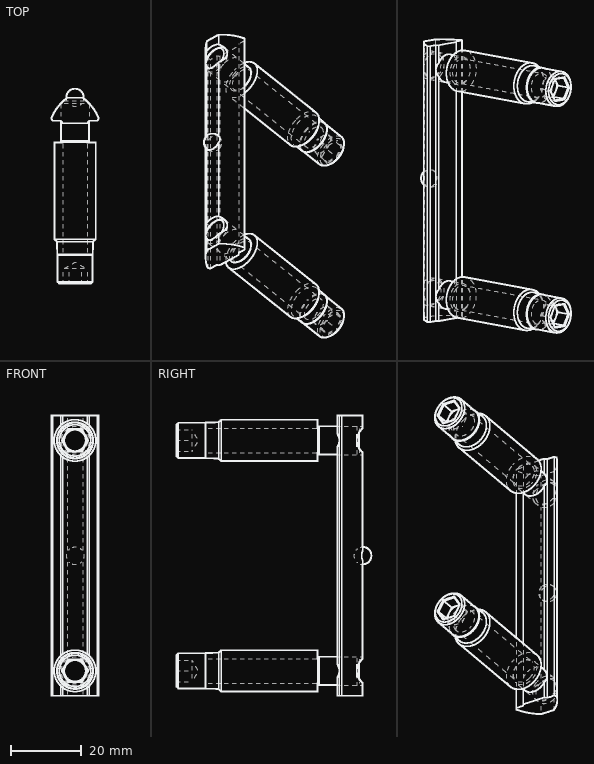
import cadquery as cq
import math

RAIL_LENGTH = 79.4
RAIL_DEPTH = 7.2
CREST_WIDTH = 4.3
RAIL_WIDTH = 13.5
WING_FLAT_WIDTH = 12.7
WING_TIP_Y = 1.35
STRIP_HEIGHT = 0.6
STRIP_BASE_WIDTH = 8.0
STRIP_FRONT_WIDTH = 7.0
FLANK_RADIUS = 13.5

BALL_DIAMETER = 5.0
BALL_PROTRUSION = 2.55

SCREW_SPACING = 65.2

THREAD_DIAMETER = 8.0
SHAFT_DIAMETER = 7.0
THREAD_TIP_DIAMETER = 6.7
THREAD_TIP_GAP = 0.95

SLEEVE_GAP = 5.5
SLEEVE_DIAMETER = 11.75
SLEEVE_BODY_LENGTH = 27.3
SLEEVE_CHAMFER_LENGTH = 0.7
SLEEVE_NECK_DIAMETER = 10.2
SLEEVE_NECK_LENGTH = 3.8
NECK_FLARE_LENGTH = 2.4
NECK_FLARE_HEIGHT = 0.1
NECK_FLARE_SAG = 0.02
NECK_END_CHAMFER_LENGTH = 0.2

HEAD_DIAMETER = 10.0
HEAD_LENGTH = 8.1
HEAD_CHAMFER = 0.55
SOCKET_WIDTH = 6.0
SOCKET_MOUTH_CHAMFER = 0.2
SOCKET_MOUTH_ANGLE = 45.0
SOCKET_DEPTH = 4.4
SOCKET_POINT_ANGLE = 120.0
HEXAGON_SIDES = 6

SLEEVE_BACK_Y = -SLEEVE_GAP
SLEEVE_SHOULDER_Y = SLEEVE_BACK_Y - SLEEVE_BODY_LENGTH
SLEEVE_NECK_Y = SLEEVE_SHOULDER_Y - SLEEVE_CHAMFER_LENGTH
SLEEVE_FRONT_Y = SLEEVE_NECK_Y - SLEEVE_NECK_LENGTH
HEAD_FRONT_Y = SLEEVE_FRONT_Y - HEAD_LENGTH
SCREW_HEIGHTS = (-SCREW_SPACING / 2, SCREW_SPACING / 2)


def cylinder_y(diameter, y_start, y_end, z):
    """A round bar along Y between two Y positions."""
    start = cq.Workplane("XZ", origin=(0, y_start, z))
    return start.circle(diameter / 2).extrude(y_start - y_end)


def turned_y(half_profile):
    """Revolve a closed (radius, y) outline about the Y axis."""
    return cq.Workplane("XY").polyline(half_profile).close().revolve(360, (0, 0, 0), (0, 1, 0))


def make_rail():
    """The rail, with a through hole for each screw and a seat for the ball."""
    crest_x = CREST_WIDTH / 2
    tip_x = RAIL_WIDTH / 2
    flat_x = WING_FLAT_WIDTH / 2
    base_x = STRIP_BASE_WIDTH / 2
    front_x = STRIP_FRONT_WIDTH / 2
    chord = math.hypot(tip_x - crest_x, RAIL_DEPTH - WING_TIP_Y)
    bulge = FLANK_RADIUS - math.sqrt(FLANK_RADIUS**2 - (chord / 2) ** 2)
    profile = (
        cq.Workplane("XY", origin=(0, 0, -RAIL_LENGTH / 2))
        .moveTo(-crest_x, RAIL_DEPTH)
        .lineTo(crest_x, RAIL_DEPTH)
        .sagittaArc((tip_x, WING_TIP_Y), bulge)
        .lineTo(flat_x, STRIP_HEIGHT)
        .lineTo(base_x, STRIP_HEIGHT)
        .lineTo(front_x, 0)
        .lineTo(-front_x, 0)
        .lineTo(-base_x, STRIP_HEIGHT)
        .lineTo(-flat_x, STRIP_HEIGHT)
        .lineTo(-tip_x, WING_TIP_Y)
        .sagittaArc((-crest_x, RAIL_DEPTH), bulge)
        .close()
    )
    rail = profile.extrude(RAIL_LENGTH)
    for z in SCREW_HEIGHTS:
        rail = rail.cut(cylinder_y(THREAD_DIAMETER, 0, RAIL_DEPTH, z))
    return rail.cut(make_ball())


def make_ball():
    """A ball at mid-length of the rail."""
    radius = BALL_DIAMETER / 2
    center_y = RAIL_DEPTH + BALL_PROTRUSION - radius
    return cq.Workplane("XY").sphere(radius).translate((0, center_y, 0))


def make_sleeve(z):
    """A sleeve whose neck flares slightly toward the shoulder and is chamfered down to the screw head."""
    body_r = SLEEVE_DIAMETER / 2
    neck_r = SLEEVE_NECK_DIAMETER / 2
    head_r = HEAD_DIAMETER / 2
    bore_r = SHAFT_DIAMETER / 2
    sleeve = (
        cq.Workplane("XY")
        .moveTo(bore_r, SLEEVE_BACK_Y)
        .lineTo(body_r, SLEEVE_BACK_Y)
        .lineTo(body_r, SLEEVE_SHOULDER_Y)
        .lineTo(neck_r + NECK_FLARE_HEIGHT, SLEEVE_NECK_Y)
        .sagittaArc((neck_r, SLEEVE_NECK_Y - NECK_FLARE_LENGTH), NECK_FLARE_SAG)
        .lineTo(neck_r, SLEEVE_FRONT_Y + NECK_END_CHAMFER_LENGTH)
        .lineTo(head_r, SLEEVE_FRONT_Y)
        .lineTo(bore_r, SLEEVE_FRONT_Y)
        .close()
        .revolve(360, (0, 0, 0), (0, 1, 0))
    )
    return sleeve.translate((0, 0, z))


def make_socket():
    """Hexagonal recess with corners toward +X and -X, a chamfered mouth and a conical bottom."""
    bottom_y = HEAD_FRONT_Y + SOCKET_DEPTH
    corners_per_flats = 1 / math.cos(math.pi / HEXAGON_SIDES)
    mouth_width = SOCKET_WIDTH + 2 * SOCKET_MOUTH_CHAMFER
    front = cq.Workplane("XZ", origin=(0, HEAD_FRONT_Y, 0))
    hexagon = front.polygon(HEXAGON_SIDES, SOCKET_WIDTH * corners_per_flats).extrude(-SOCKET_DEPTH)
    mouth = front.polygon(HEXAGON_SIDES, mouth_width * corners_per_flats).extrude(
        -SOCKET_MOUTH_CHAMFER, taper=SOCKET_MOUTH_ANGLE
    )
    point_r = SOCKET_WIDTH / 2
    point_length = point_r / math.tan(math.radians(SOCKET_POINT_ANGLE / 2))
    point = turned_y([(0, bottom_y), (point_r, bottom_y), (0, bottom_y + point_length)])
    return hexagon.union(mouth).union(point)


def make_screw(z):
    """A socket screw: threaded end in the rail, thinner shaft through the sleeve, head in front of it."""
    thread_r = THREAD_DIAMETER / 2
    shaft_r = SHAFT_DIAMETER / 2
    tip_r = THREAD_TIP_DIAMETER / 2
    head_r = HEAD_DIAMETER / 2
    tip_y = RAIL_DEPTH - THREAD_TIP_GAP
    screw = turned_y(
        [
            (0, tip_y),
            (tip_r, tip_y),
            (thread_r, tip_y - (thread_r - tip_r)),
            (thread_r, SLEEVE_BACK_Y + (thread_r - shaft_r)),
            (shaft_r, SLEEVE_BACK_Y),
            (shaft_r, SLEEVE_FRONT_Y),
            (head_r, SLEEVE_FRONT_Y),
            (head_r, HEAD_FRONT_Y + HEAD_CHAMFER),
            (head_r - HEAD_CHAMFER, HEAD_FRONT_Y),
            (0, HEAD_FRONT_Y),
        ]
    )
    return screw.cut(make_socket()).translate((0, 0, z))


rail = make_rail()
ball = make_ball()
sleeves = [make_sleeve(z) for z in SCREW_HEIGHTS]
screws = [make_screw(z) for z in SCREW_HEIGHTS]

result = cq.Compound.makeCompound(
    [rail.val(), ball.val(), *[sleeve.val() for sleeve in sleeves], *[screw.val() for screw in screws]]
)